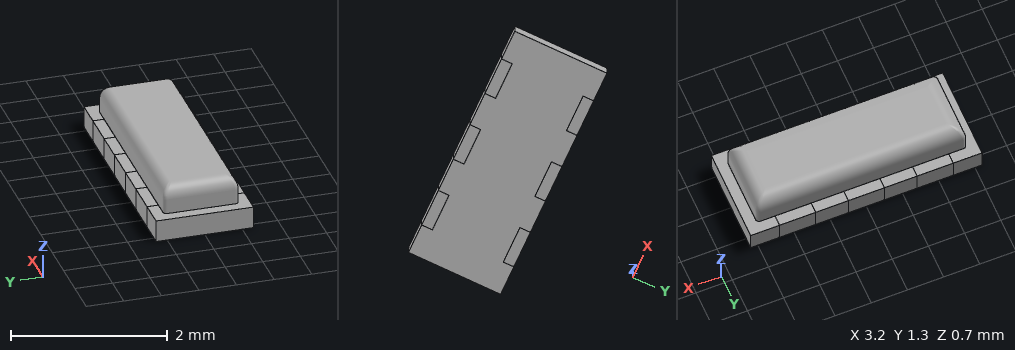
import cadquery as cq

BASE_LENGTH = 3.2
BASE_WIDTH = 1.3
BASE_HEIGHT = 0.3

COVER_MARGIN = 0.15
COVER_LENGTH = BASE_LENGTH - 2 * COVER_MARGIN
COVER_WIDTH = BASE_WIDTH - 2 * COVER_MARGIN
COVER_HEIGHT = 0.4
COVER_TOP_RADIUS = COVER_HEIGHT / 2
COVER_CORNER_RADIUS = 0.048

TERMINALS_PER_SIDE = 3
TERMINAL_WIDTH = 0.5
TERMINAL_DEPTH = COVER_MARGIN
TERMINAL_PITCH = 0.95


def make_terminal(x_center, side):
    """One terminal, flush with the -Y side (side = -1) or the +Y side (side = 1)."""
    y_center = side * (BASE_WIDTH - TERMINAL_DEPTH) / 2
    return (
        cq.Workplane("XY")
        .box(TERMINAL_WIDTH, TERMINAL_DEPTH, BASE_HEIGHT, centered=(True, True, False))
        .translate((x_center, y_center, 0))
    )


def make_terminals():
    """All terminals, evenly pitched about the middle of each long side."""
    first_x = -TERMINAL_PITCH * (TERMINALS_PER_SIDE - 1) / 2
    return [
        make_terminal(first_x + index * TERMINAL_PITCH, side)
        for side in (-1, 1)
        for index in range(TERMINALS_PER_SIDE)
    ]


def make_substrate(terminals):
    """The board, with a matching recess for each terminal."""
    board = cq.Workplane("XY").box(
        BASE_LENGTH, BASE_WIDTH, BASE_HEIGHT, centered=(True, True, False)
    )
    for terminal in terminals:
        board = board.cut(terminal)
    return board


def make_cover():
    """The cover: rounded top edges meeting in mitres, then slightly rounded corners."""
    block = cq.Workplane("XY", origin=(0, 0, BASE_HEIGHT)).box(
        COVER_LENGTH, COVER_WIDTH, COVER_HEIGHT, centered=(True, True, False)
    )
    domed = block.faces(">Z").edges().fillet(COVER_TOP_RADIUS)
    return domed.edges("|Z").fillet(COVER_CORNER_RADIUS)


terminals = make_terminals()
substrate = make_substrate(terminals)
cover = make_cover()

result = cq.Compound.makeCompound(
    [substrate.val(), cover.val(), *[terminal.val() for terminal in terminals]]
)